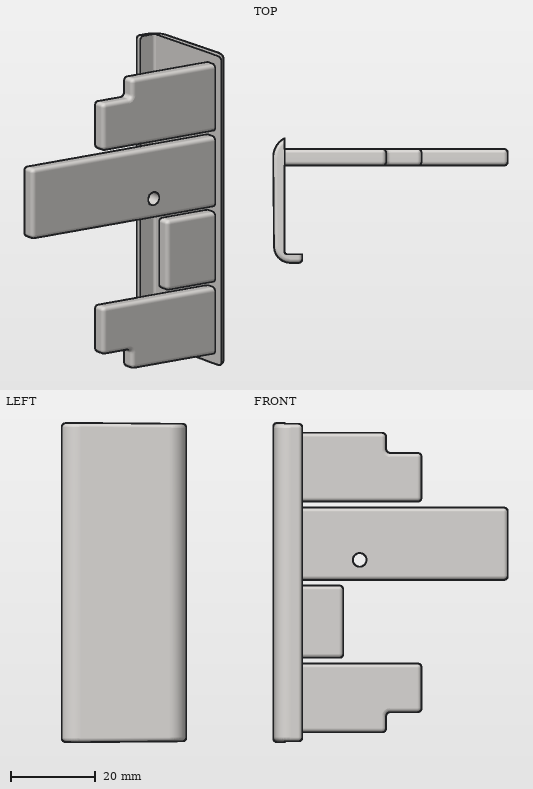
import cadquery as cq
import math

height = 75.4
depth = 29.5
wall_thickness = 2.7
lip_length = 6.95
lip_thickness = 2.1
front_corner_radius = 4.0
inner_corner_radius = 0.6
rear_curve_depth = 4.5
edge_radius = 1.0

draft_angle = 0.5
parting_y = depth - rear_curve_depth

tab_thickness = 4.0
stepped_tab_length = 35.1
stepped_tab_shoulder = 26.7
stepped_tab_inset = 2.35
stepped_tab_height = 16.3
notch_height = 4.75
long_tab_length = 55.4
long_tab_bottom = 38.3
short_tab_length = 16.6
short_tab_bottom = 19.9
inner_tab_height = 17.1

hole_diameter = 3.2
hole_x = 20.45
hole_z = 43.1

tab_root = wall_thickness / 2


def draft_offset(distance):
    """Return how far a drafted side moves inwards at a distance from the parting plane."""
    return distance * math.tan(math.radians(draft_angle))


def nearest_to(*point):
    """Return a selector for the edge whose middle is nearest to a point."""
    return cq.selectors.NearestToPointSelector(point)


def make_outer_block():
    """Make the cover as a solid block with drafted ends and rounded outer edges."""
    rear_radius = (wall_thickness**2 + rear_curve_depth**2) / (2 * wall_thickness)
    arc_middle = rear_radius * math.sqrt(0.5)
    block_rear = parting_y + rear_radius
    front_offset = draft_offset(parting_y)
    rear_offset = draft_offset(rear_radius)

    section = (
        cq.Workplane("XY")
        .moveTo(front_offset, 0)
        .lineTo(lip_length, 0)
        .lineTo(lip_length, block_rear)
        .lineTo(rear_radius, block_rear)
        .threePointArc((rear_radius - arc_middle, parting_y + arc_middle), (0, parting_y))
        .close()
        .extrude(height)
    )
    side_profile = (
        cq.Workplane("YZ")
        .moveTo(0, front_offset)
        .lineTo(parting_y, 0)
        .lineTo(block_rear, rear_offset)
        .lineTo(block_rear, height - rear_offset)
        .lineTo(parting_y, height)
        .lineTo(0, height - front_offset)
        .close()
        .extrude(lip_length)
    )
    front_corner = nearest_to(front_offset, 0, height / 2)
    block = section.edges(front_corner).fillet(front_corner_radius).intersect(side_profile)

    seams = cq.selectors.BoxSelector(
        (0, parting_y - edge_radius, -edge_radius),
        (lip_length, parting_y + edge_radius, height + edge_radius),
    )
    end_edges = block.edges(cq.StringSyntaxSelector("not |Z") - seams)
    lip_corner = block.edges(nearest_to(lip_length, 0, height / 2))
    return end_edges.add(lip_corner).fillet(edge_radius)


def make_cover():
    """Hollow the outer block, leaving the wall and the lip."""
    cavity = (
        cq.Workplane("XY", origin=(wall_thickness, lip_thickness, 0))
        .rect(lip_length, depth, centered=False)
        .extrude(height)
        .edges(nearest_to(wall_thickness, lip_thickness, height / 2))
        .fillet(inner_corner_radius)
    )
    return make_outer_block().cut(cavity)


def make_half_tab(length, bottom, top):
    """Make the front half of a rectangular tab, drafted away from the parting plane."""
    return (
        cq.Workplane("XZ", origin=(tab_root, parting_y, bottom))
        .rect(length - tab_root, top - bottom, centered=False)
        .extrude(tab_thickness / 2, taper=draft_angle)
    )


def finish_tab(front_half):
    """Round the edges of a half tab and mirror it into a whole one."""
    free_edges = cq.selectors.BoxSelector(
        (wall_thickness, parting_y - tab_thickness, 0),
        (long_tab_length, parting_y - edge_radius / 2, height),
    )
    front_half = front_half.edges(free_edges).fillet(edge_radius)
    return front_half.union(front_half.mirror("XZ", (0, parting_y, 0)))


def make_straight_tab(length, bottom):
    """Make a rectangular tab."""
    return finish_tab(make_half_tab(length, bottom, bottom + inner_tab_height))


def make_stepped_tab():
    """Make the upper outer tab, with a notch in its top free corner."""
    top = height - stepped_tab_inset
    bottom = top - stepped_tab_height
    long_part = make_half_tab(stepped_tab_length, bottom, top - notch_height)
    tall_part = make_half_tab(stepped_tab_shoulder, bottom, top)
    return finish_tab(long_part.union(tall_part))


hole = (
    cq.Workplane("XZ", origin=(hole_x, parting_y, hole_z))
    .circle(hole_diameter / 2)
    .extrude(tab_thickness, both=True)
)
upper_tab = make_stepped_tab()
lower_tab = upper_tab.mirror("XY", (0, 0, height / 2))
long_tab = make_straight_tab(long_tab_length, long_tab_bottom).cut(hole)
short_tab = make_straight_tab(short_tab_length, short_tab_bottom)

result = make_cover()
for tab in (upper_tab, lower_tab, long_tab, short_tab):
    result = result.union(tab)